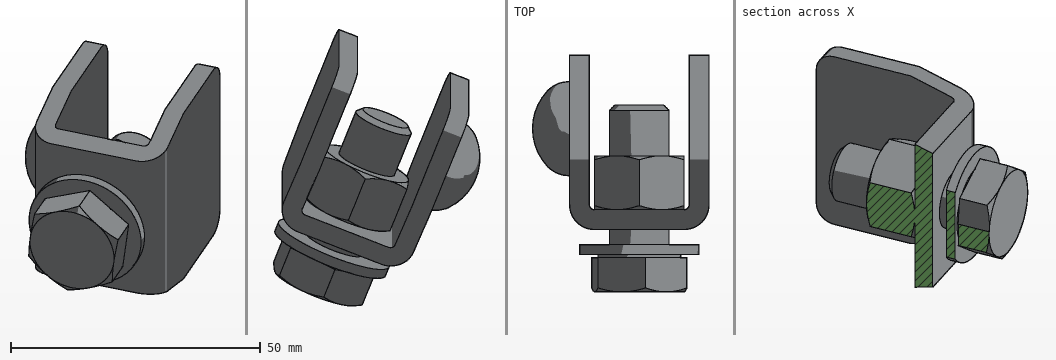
import cadquery as cq
import math


bracket_width = 28.0
bracket_length = 35.0
bracket_height = 39.5
sheet_thickness = 4.0
inner_bend_radius = 1.0
outer_bend_radius = inner_bend_radius + sheet_thickness
arm_corner_radius = 4.0
taper_length = 14.0
taper_drop = 4.0

dome_base_radius = 9.5
dome_height = 7.44
dome_crown_radius = 11.1
dome_center_y = 20.25

bolt_diameter = 12.0
bolt_length = 30.0
bolt_tip_chamfer = 1.1
bolt_seat_y = -5.0
bolt_tip_y = bolt_seat_y + bolt_length
head_total_height = 7.5
head_collar_height = 0.6
head_collar_diameter = 16.63
head_turn_angle = 83.0

washer_diameter = 24.0
washer_thickness = 2.0

nut_height = 10.8
nut_turn_angle = 90.0

hex_across_flats = 18.0
hex_chamfer_angle = 30.0


def cylinder_along_y(diameter, y_start, y_end):
    """Cylinder on the bolt axis between two Y positions."""
    return cq.Workplane("XZ", origin=(0, y_end, 0)).circle(diameter / 2).extrude(y_end - y_start)


def make_bracket():
    half_width = bracket_width / 2
    half_height = bracket_height / 2

    outer = (
        cq.Workplane("XY")
        .box(bracket_width, bracket_length, bracket_height, centered=(True, False, True))
        .edges("|Z and <Y")
        .fillet(outer_bend_radius)
    )
    channel = (
        cq.Workplane("XY")
        .box(
            bracket_width - 2 * sheet_thickness,
            bracket_length,
            bracket_height,
            centered=(True, False, True),
        )
        .translate((0, sheet_thickness, 0))
        .edges("|Z and <Y")
        .fillet(inner_bend_radius)
    )
    side_outline = (
        cq.Workplane("YZ", origin=(-half_width, 0, 0))
        .polyline([
            (0, -half_height + taper_drop),
            (taper_length, -half_height),
            (bracket_length, -half_height),
            (bracket_length, half_height),
            (taper_length, half_height),
            (0, half_height - taper_drop),
        ])
        .close()
        .extrude(bracket_width)
        .edges("|X and >Y")
        .fillet(arm_corner_radius)
    )
    return outer.cut(channel).intersect(side_outline)


def make_dome():
    """Revolved dome whose shoulder arc stands square on the arm and meets the crown tangentially."""
    crown_center_height = dome_height - dome_crown_radius
    shoulder_radius = (
        (dome_crown_radius**2 - dome_base_radius**2 - crown_center_height**2)
        / (2 * (dome_crown_radius - dome_base_radius))
    )
    shoulder_center = dome_base_radius - shoulder_radius

    meet_angle = math.atan2(shoulder_center, -crown_center_height)

    def crown_point(angle):
        radius = dome_crown_radius * math.sin(angle)
        return radius, crown_center_height + dome_crown_radius * math.cos(angle)

    def shoulder_point(angle):
        radius = shoulder_center + shoulder_radius * math.sin(angle)
        return radius, shoulder_radius * math.cos(angle)

    shoulder_mid_angle = (meet_angle + math.pi / 2) / 2
    dome = (
        cq.Workplane("XZ")
        .lineTo(dome_base_radius, 0)
        .threePointArc(shoulder_point(shoulder_mid_angle), crown_point(meet_angle))
        .threePointArc(crown_point(meet_angle / 2), (0, dome_height))
        .close()
        .revolve(360, (0, 0), (0, 1))
    )
    return (
        dome.rotate((0, 0, 0), (0, 1, 0), -90)
        .translate((-bracket_width / 2, dome_center_y, 0))
    )


def make_hexagon(y_start, y_end, turn_angle, chamfer_start, chamfer_end):
    """Hexagonal prism along Y; the chosen ends have their corners turned down to a cone."""
    corner_radius = hex_across_flats / math.sqrt(3)
    face_radius = hex_across_flats / 2
    chamfer_depth = (corner_radius - face_radius) * math.tan(math.radians(hex_chamfer_angle))

    start_radius = face_radius if chamfer_start else corner_radius
    end_radius = face_radius if chamfer_end else corner_radius
    turned_blank = (
        cq.Workplane("XY")
        .polyline([
            (0, y_start),
            (start_radius, y_start),
            (corner_radius, y_start + chamfer_depth),
            (corner_radius, y_end - chamfer_depth),
            (end_radius, y_end),
            (0, y_end),
        ])
        .close()
        .revolve(360, (0, 0), (0, 1))
    )
    prism = (
        cq.Workplane("XZ", origin=(0, y_end, 0))
        .polygon(6, 2 * corner_radius)
        .extrude(y_end - y_start)
        .rotate((0, 0, 0), (0, 1, 0), -turn_angle)
    )
    return prism.intersect(turned_blank)


def make_bolt():
    head_y = bolt_seat_y - head_total_height
    collar_y = bolt_seat_y - head_collar_height
    shank = cylinder_along_y(bolt_diameter, bolt_seat_y, bolt_tip_y).faces(">Y").chamfer(bolt_tip_chamfer)
    collar = cylinder_along_y(head_collar_diameter, collar_y, bolt_seat_y)
    head = make_hexagon(head_y, collar_y, head_turn_angle, True, False)
    return shank.union(collar).union(head)


def make_washer():
    return cylinder_along_y(washer_diameter, bolt_seat_y, bolt_seat_y + washer_thickness)


def make_nut():
    return make_hexagon(sheet_thickness, sheet_thickness + nut_height, nut_turn_angle, True, True)


result = (
    make_bracket()
    .union(make_dome())
    .union(make_bolt())
    .union(make_washer())
    .union(make_nut())
)